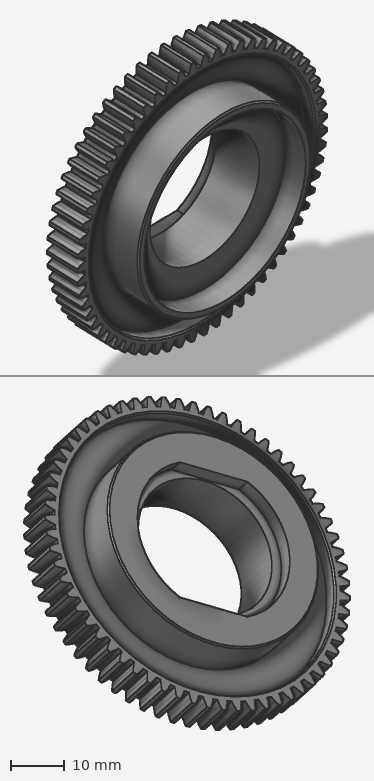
import cadquery as cq
import math

teeth = 63
tip_radius = 32.5
root_radius = 30.5
gear_width = 8.0
pressure_angle = math.radians(20)
module = 2 * tip_radius / (teeth + 2)
pitch_radius = module * teeth / 2
base_radius = pitch_radius * math.cos(pressure_angle)
tooth_pitch = 2 * math.pi / teeth

hub_length = 20.0
hub_radius = 22.5
hub_chamfer = 0.3

recess_radius = 29.25
recess_depth = 3.05
recess_chamfer = 0.3

bore_radius = 14.25
pocket_radius = 16.25
pocket_width = 29.1
pocket_depth = 3.2
counterbore_radius = 21.0
counterbore_depth = 5.3


def disc(radius, x_start, x_end):
    """Cylinder on the X axis between two X positions."""
    return cq.Workplane("YZ", origin=(x_start, 0, 0)).circle(radius).extrude(x_end - x_start)


def polar(radius, angle):
    return (radius * math.cos(angle), radius * math.sin(angle))


def involute(angle):
    return math.tan(angle) - angle


def tooth_half_angle(radius):
    """Half of the angle that a tooth spans at a radius between its involute flanks."""
    flank_angle = math.acos(base_radius / radius)
    return math.pi / (2 * teeth) + involute(pressure_angle) - involute(flank_angle)


def toothed_disc():
    """Gear disc with one tooth pointing along -Y; each flank is two arcs that meet at the pitch circle."""
    dedendum_radius = (root_radius + pitch_radius) / 2
    addendum_radius = (pitch_radius + tip_radius) / 2
    root_half_angle = tooth_half_angle(root_radius)
    outline = cq.Workplane("YZ", origin=(-gear_width / 2, 0, 0))
    outline = outline.moveTo(*polar(root_radius, math.pi - root_half_angle))
    for i in range(teeth):
        middle = math.pi + i * tooth_pitch

        def rising(radius):
            return polar(radius, middle - tooth_half_angle(radius))

        def falling(radius):
            return polar(radius, middle + tooth_half_angle(radius))

        gap_middle = polar(root_radius, middle + tooth_pitch / 2)
        gap_end = polar(root_radius, middle + tooth_pitch - root_half_angle)
        outline = (
            outline.threePointArc(rising(dedendum_radius), rising(pitch_radius))
            .threePointArc(rising(addendum_radius), rising(tip_radius))
            .threePointArc(polar(tip_radius, middle), falling(tip_radius))
            .threePointArc(falling(addendum_radius), falling(pitch_radius))
            .threePointArc(falling(dedendum_radius), falling(root_radius))
            .threePointArc(gap_middle, gap_end)
        )
    return outline.close().extrude(gear_width)


def recess():
    """Solid of revolution that sinks the +X side of the gear and flares at its rim."""
    face = gear_width / 2
    floor = face - recess_depth
    profile = [
        (floor, 0),
        (floor, recess_radius),
        (face - recess_chamfer, recess_radius),
        (face, recess_radius + recess_chamfer),
        (face, 0),
    ]
    return cq.Workplane("XY").polyline(profile).close().revolve(360, (0, 0, 0), (1, 0, 0))


def hub():
    return disc(hub_radius, -hub_length / 2, hub_length / 2).edges().chamfer(hub_chamfer)


def flat_sided_pocket():
    """Round pocket cut off by two flats that face +Z and -Z."""
    start = -hub_length / 2
    slab = cq.Workplane("XY").box(hub_length * 2, 2 * pocket_radius, pocket_width)
    return disc(pocket_radius, start, start + pocket_depth).intersect(slab)


bore = disc(bore_radius, -hub_length / 2, hub_length / 2)
counterbore = disc(counterbore_radius, hub_length / 2 - counterbore_depth, hub_length / 2)

gear = toothed_disc().cut(recess()).cut(recess().mirror("YZ"))
result = gear.union(hub()).cut(bore).cut(flat_sided_pocket()).cut(counterbore)